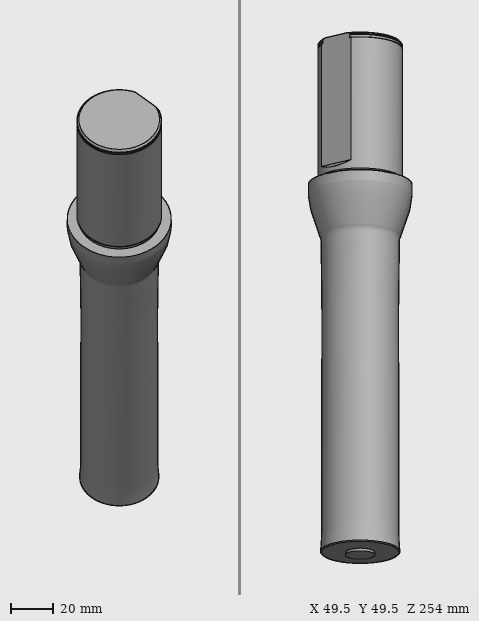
import cadquery as cq

FOOT_BOTTOM = 0.0
BODY_BOTTOM = 1.3
TAIL_TOP = 12.5
GRIP_TOP = 83.8
WAIST_TOP = 151.5
NECK_TOP = 156.0
CONE_BOTTOM = 158.5
RIM_BOTTOM = 178.8
RIM_TOP = 184.0
CYLINDER_BOTTOM = 185.7
TOTAL_HEIGHT = 254.0

FOOT_DIAMETER = 14.0
TAIL_DIAMETER = 37.8
NECK_DIAMETER = 37.3
GRIP_DIAMETER = 36.8
WAIST_DIAMETER = 36.5
CONE_DIAMETER = 38.5
RIM_DIAMETER = 49.5
CYLINDER_DIAMETER = 40.5
UNDERCUT_DIAMETER = 38.9

TOP_CHAMFER = 1.0
BASE_CHAMFER = 0.5
TOP_GROOVE_WIDTH = 1.3
TOP_GROOVE_DIAMETER = 39.5
TOP_GROOVE_CENTER = TOTAL_HEIGHT - 2.0
FLAT_OFFSET = 18.0
FLAT_BOTTOM = 190.5
FLAT_RUNOUT_BOTTOM = FLAT_BOTTOM - (CYLINDER_DIAMETER / 2 - FLAT_OFFSET)

TAIL_CHAMFER = 0.5
TAIL_MIDDLE_Z = (BODY_BOTTOM + TAIL_CHAMFER + TAIL_TOP) / 2
TAIL_MIDDLE_RADIUS = GRIP_DIAMETER / 2 + (TAIL_DIAMETER - GRIP_DIAMETER) / 8

FLANK_MIDDLE_RADIUS = 23.0
FLANK_MIDDLE_Z = 169.2


def make_housing():
    """Turned lower body: foot, tail, grip, waist, neck and flared head."""
    neck_radius = NECK_DIAMETER / 2
    grip_radius = GRIP_DIAMETER / 2
    tail_radius = TAIL_DIAMETER / 2
    rim_radius = RIM_DIAMETER / 2
    waist_middle_z = (GRIP_TOP + WAIST_TOP) / 2
    return (
        cq.Workplane("XZ")
        .moveTo(0, FOOT_BOTTOM)
        .lineTo(FOOT_DIAMETER / 2, FOOT_BOTTOM)
        .lineTo(FOOT_DIAMETER / 2, BODY_BOTTOM)
        .lineTo(tail_radius - TAIL_CHAMFER, BODY_BOTTOM)
        .lineTo(tail_radius, BODY_BOTTOM + TAIL_CHAMFER)
        .threePointArc((TAIL_MIDDLE_RADIUS, TAIL_MIDDLE_Z), (grip_radius, TAIL_TOP))
        .lineTo(grip_radius, GRIP_TOP)
        .threePointArc((WAIST_DIAMETER / 2, waist_middle_z), (neck_radius, WAIST_TOP))
        .lineTo(neck_radius, NECK_TOP)
        .tangentArcPoint((CONE_DIAMETER / 2, CONE_BOTTOM), relative=False)
        .threePointArc((FLANK_MIDDLE_RADIUS, FLANK_MIDDLE_Z), (rim_radius, RIM_BOTTOM))
        .lineTo(rim_radius, RIM_TOP)
        .lineTo(0, RIM_TOP)
        .close()
        .revolve(360, (0, 0, 0), (0, 1, 0))
    )


def make_flat_cutter():
    """Prism that removes the flat on the +Y side, with a sloped run-out."""
    outside = CYLINDER_DIAMETER / 2
    return (
        cq.Workplane("YZ")
        .moveTo(FLAT_OFFSET, FLAT_BOTTOM)
        .lineTo(outside, FLAT_RUNOUT_BOTTOM)
        .lineTo(outside, TOTAL_HEIGHT)
        .lineTo(FLAT_OFFSET, TOTAL_HEIGHT)
        .close()
        .extrude(CYLINDER_DIAMETER, both=True)
    )


def make_cylinder():
    """Upper cylinder with an undercut base, a groove and a flat."""
    radius = CYLINDER_DIAMETER / 2
    groove_radius = TOP_GROOVE_DIAMETER / 2
    groove_bottom = TOP_GROOVE_CENTER - TOP_GROOVE_WIDTH / 2
    groove_top = TOP_GROOVE_CENTER + TOP_GROOVE_WIDTH / 2
    turned = (
        cq.Workplane("XZ")
        .moveTo(0, RIM_TOP)
        .lineTo(UNDERCUT_DIAMETER / 2, RIM_TOP)
        .lineTo(UNDERCUT_DIAMETER / 2, CYLINDER_BOTTOM)
        .lineTo(radius - BASE_CHAMFER, CYLINDER_BOTTOM)
        .lineTo(radius, CYLINDER_BOTTOM + BASE_CHAMFER)
        .lineTo(radius, groove_bottom)
        .lineTo(groove_radius, groove_bottom)
        .lineTo(groove_radius, groove_top)
        .lineTo(radius, groove_top)
        .lineTo(radius, TOTAL_HEIGHT - TOP_CHAMFER)
        .lineTo(radius - TOP_CHAMFER, TOTAL_HEIGHT)
        .lineTo(0, TOTAL_HEIGHT)
        .close()
        .revolve(360, (0, 0, 0), (0, 1, 0))
    )
    return turned.cut(make_flat_cutter())


housing = make_housing()
cylinder = make_cylinder()
result = cq.Compound.makeCompound([housing.val(), cylinder.val()])